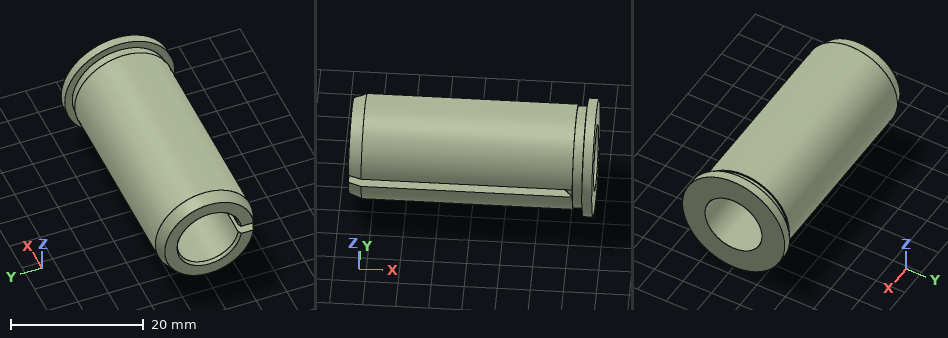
import cadquery as cq
import math

length = 37.0
flange_diameter = 18.0
flange_thickness = 1.5
neck_diameter = 15.5
neck_width = 1.5
body_diameter = 16.0
bore_diameter = 10.0

nose_length = 2.0
nose_angle = 20.0
entry_depth = 0.55
entry_diameter = 10.5

slot_width = 1.5
ramp_length = 2.5
ramp_end_radius = 7.88

flange_start = length - flange_thickness
neck_start = flange_start - neck_width
ramp_start = neck_start - ramp_length
nose_end_radius = body_diameter / 2 - nose_length * math.tan(math.radians(nose_angle))


def make_sleeve():
    """Revolve the wall section about the X axis."""
    section = (
        cq.Workplane("XY")
        .moveTo(0, entry_diameter / 2)
        .lineTo(0, nose_end_radius)
        .lineTo(nose_length, body_diameter / 2)
        .lineTo(neck_start, body_diameter / 2)
        .lineTo(neck_start, neck_diameter / 2)
        .lineTo(flange_start, neck_diameter / 2)
        .lineTo(flange_start, flange_diameter / 2)
        .lineTo(length, flange_diameter / 2)
        .lineTo(length, bore_diameter / 2)
        .lineTo(entry_depth, bore_diameter / 2)
        .close()
    )
    return section.revolve(360, (0, 0, 0), (1, 0, 0))


def make_slot():
    """Slot through the -Y wall from the nose, ending in a cone that stops just below the body surface."""
    slab = cq.Workplane("XY").box(
        neck_start, body_diameter / 2, slot_width, centered=(False, False, True)
    )
    slab = slab.translate((0, -body_diameter / 2, 0))
    ramp_cone = (
        cq.Workplane("XY")
        .moveTo(ramp_start, 0)
        .lineTo(ramp_start, bore_diameter / 2)
        .lineTo(neck_start, ramp_end_radius)
        .lineTo(neck_start, 0)
        .close()
        .revolve(360, (0, 0, 0), (1, 0, 0))
    )
    return slab.cut(ramp_cone)


result = make_sleeve().cut(make_slot())